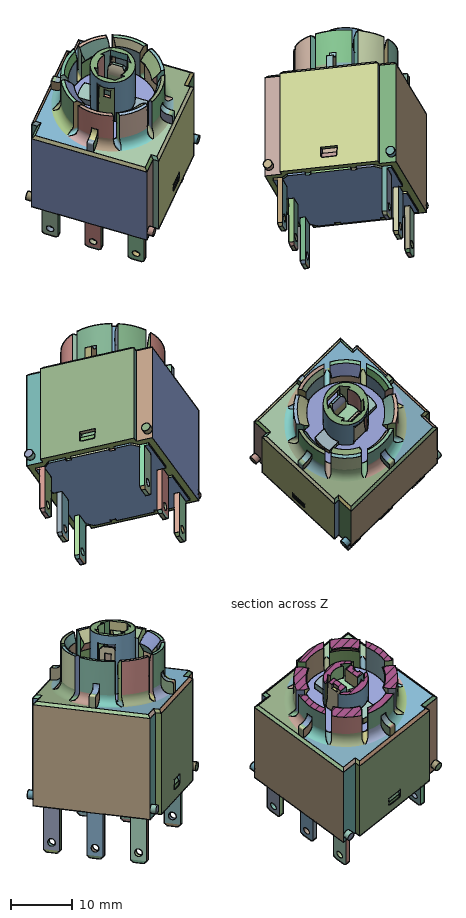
import cadquery as cq
import math

housing_size = 22.2
housing_bottom = 8.72
housing_top = 26.95
top_chamfer = 0.5
corner_half_x = 10.1
side_panel_half_y = 8.28

pin_diameter = 1.5
pin_z = 10.4

latch_width = 2.8
latch_bottom = 10.5
latch_top = 12.32
latch_ledge = 11.25
latch_depth = 0.75
latch_gap = 0.15
latch_recess = 0.1
latch_corner = 0.37

plate_half = 10.0
plate_thickness = 0.37
plate_corner_y = 7.3
plate_notch_y = 3.85
plate_notch_width = 0.93
plate_notch_depth = 0.5

terminal_width = 2.82
terminal_thickness = 0.9
terminal_spacing_x = 7.5
terminal_y = 8.85
terminal_tip = 0.5
terminal_tip_taper = 0.1
terminal_hole = 1.3
terminal_hole_height = 1.85
outer_terminal_end = 0.1

plate_corner_x = terminal_spacing_x + terminal_width / 2

ring_top = 34.45
ring_radius = 8.55
ring_inner_radius = 7.3
ring_rim_radius = 7.95
flare_height = 1.55
flare_radius = 10.02
lead_in_height = 1.5
hook_radius = 6.4
hook_height = 1.85
hook_underside_height = 1.55
hook_half_angle = 20.0

slot_offset = 2.97
slot_width = 0.95

rib_width = 1.1
rib_reach = housing_size / 2 - top_chamfer
rib_top = 29.1
rib_arc = 1.35
rib_nose_radius = 0.3

boss_top = 28.25
boss_radius = 5.75
boss_width = 3.25

socket_diameter = 7.4
socket_top = 37.1
socket_floor = 29.7
bore_radius = 2.5
bore_half_y = 2.85
bore_flat_half_x = 1.5
bore_shoulder_x = 2.6
bore_shoulder_y = 1.52
bore_step_x = 1.85
window_width = 3.05
window_top = 35.5

contact_pocket_width = 2.82
contact_inner_y = 1.35
contact_outer_y = 3.2
contact_top = 34.62
contact_top_inner_y = 2.08
contact_top_outer_y = 2.5
contact_tip_chamfer = 0.5
contact_opening_width = 1.1
contact_opening_bottom = 31.9
contact_opening_height = 1.6
contact_opening_depth = 0.93
contact_shoulder_z = 32.65
contact_inner_radius = 2.6

half = housing_size / 2


def block(x_size, y_size, z_low, z_high, x=0, y=0):
    """Box centred at (x, y) between two heights."""
    box = cq.Workplane("XY").box(x_size, y_size, z_high - z_low, centered=(True, True, False))
    return box.translate((x, y, z_low))


def cylinder(radius, z_low, z_high):
    return cq.Workplane("XY", origin=(0, 0, z_low)).circle(radius).extrude(z_high - z_low)


def prism_along_y(points, y_low, y_high):
    """Extrude an outline of (x, z) points along Y."""
    return cq.Workplane("XZ", origin=(0, y_low, 0)).polyline(points).close().extrude(y_low - y_high)


def prism_along_x(points, x_low, x_high):
    """Extrude an outline of (y, z) points along X."""
    return cq.Workplane("YZ", origin=(x_low, 0, 0)).polyline(points).close().extrude(x_high - x_low)


def make_housing():
    core = block(2 * corner_half_x, housing_size, housing_bottom, housing_top)
    panels = block(housing_size, 2 * side_panel_half_y, housing_bottom, housing_top)
    housing = core.union(panels).faces(">Z").chamfer(top_chamfer)
    for side in (-1, 1):
        housing = housing.cut(make_latch_pocket(side))
    pin_y = half - pin_diameter / 2
    for y in (-pin_y, pin_y):
        pin = cq.Workplane("YZ", origin=(-half, y, pin_z)).circle(pin_diameter / 2).extrude(housing_size)
        housing = housing.union(pin)
    return housing


def make_latch_pocket(side):
    """Clearance around a latch whose upper part slopes into the side panel."""
    outer = half - latch_recess
    inner = half - latch_depth
    pocket = block(latch_depth, latch_width, latch_bottom, latch_top, x=half - latch_depth / 2)
    pocket = pocket.edges("|X and <Z").fillet(latch_corner)
    latch_half = latch_width / 2 - latch_gap
    profile = [
        (inner, latch_bottom),
        (outer, latch_bottom),
        (outer, latch_ledge),
        (inner, latch_top),
    ]
    pocket = pocket.cut(prism_along_y(profile, -latch_half, latch_half))
    return pocket if side > 0 else pocket.mirror("YZ")


def make_bottom_plate():
    bottom = housing_bottom - plate_thickness
    corner_end_y = plate_corner_y + plate_half - plate_corner_x
    plate = block(2 * plate_corner_x, 2 * plate_half, bottom, housing_bottom)
    wings = [
        (-plate_half, -plate_corner_y),
        (-plate_corner_x, -corner_end_y),
        (plate_corner_x, -corner_end_y),
        (plate_half, -plate_corner_y),
        (plate_half, plate_corner_y),
        (plate_corner_x, corner_end_y),
        (-plate_corner_x, corner_end_y),
        (-plate_half, plate_corner_y),
    ]
    wing_plate = cq.Workplane("XY", origin=(0, 0, bottom)).polyline(wings).close().extrude(plate_thickness)
    plate = plate.union(wing_plate)
    for sx in (-1, 1):
        for sy in (-1, 1):
            notch_x = sx * (plate_half - plate_notch_depth / 2)
            plate = plate.cut(block(plate_notch_depth, plate_notch_width, bottom, housing_bottom,
                                    x=notch_x, y=sy * plate_notch_y))
    middle_gap = plate_half - terminal_y
    for sy in (-1, 1):
        plate = plate.cut(block(terminal_width, middle_gap, bottom, housing_bottom,
                                y=sy * (plate_half - middle_gap / 2)))
    return plate


def make_terminal(x, y, end):
    """Flat blade with a tapered tip and a cross hole."""
    half_width = terminal_width / 2
    half_thickness = terminal_thickness / 2
    tip_width = half_width - terminal_tip
    tip_thickness = half_thickness - terminal_tip_taper
    shoulder = end + terminal_tip
    face = [
        (-half_width, housing_bottom),
        (-half_width, shoulder),
        (-tip_width, end),
        (tip_width, end),
        (half_width, shoulder),
        (half_width, housing_bottom),
    ]
    edge = [
        (-half_thickness, housing_bottom),
        (-half_thickness, shoulder),
        (-tip_thickness, end),
        (tip_thickness, end),
        (half_thickness, shoulder),
        (half_thickness, housing_bottom),
    ]
    blade = prism_along_y(face, -half_thickness, half_thickness)
    blade = blade.intersect(prism_along_x(edge, -half_width, half_width))
    hole = cq.Workplane("XZ", origin=(0, half_thickness, end + terminal_hole_height))
    blade = blade.cut(hole.circle(terminal_hole / 2).extrude(terminal_thickness))
    return blade.translate((x, y, 0))


def revolve(outline):
    return outline.close().revolve(360, (0, 0, 0), (0, 1, 0))


def make_ring():
    """Flared collar with a conical lead-in and four inward hooks on the diagonals."""
    flare_start = housing_top + flare_height
    flare_mid_angle = math.radians(45)
    flare_mid = (
        flare_radius - (flare_radius - ring_radius) * math.sin(flare_mid_angle),
        flare_start - flare_height * math.cos(flare_mid_angle),
    )
    wall = revolve(
        cq.Workplane("XZ")
        .moveTo(ring_inner_radius, housing_top)
        .lineTo(flare_radius, housing_top)
        .threePointArc(flare_mid, (ring_radius, flare_start))
        .lineTo(ring_radius, ring_top)
        .lineTo(ring_rim_radius, ring_top)
        .lineTo(ring_inner_radius, ring_top - lead_in_height)
    )
    hook_tip = ring_top - hook_height
    hooks = revolve(
        cq.Workplane("XZ")
        .moveTo(ring_rim_radius, ring_top)
        .lineTo(hook_radius, hook_tip)
        .lineTo(ring_inner_radius, hook_tip - hook_underside_height)
        .lineTo(ring_rim_radius, hook_tip - hook_underside_height)
    )
    sector_half_width = flare_radius * math.tan(math.radians(hook_half_angle))
    sector = [(0, 0), (flare_radius, -sector_half_width), (flare_radius, sector_half_width)]
    hook_sector = cq.Workplane("XY", origin=(0, 0, housing_top)).polyline(sector).close()
    hook = hooks.intersect(hook_sector.extrude(ring_top - housing_top))
    for angle in (45, 135, 225, 315):
        wall = wall.union(hook.rotate((0, 0, 0), (0, 0, 1), angle))
    for angle in (45, 135):
        for offset in (-slot_offset, slot_offset):
            wall = wall.cut(make_slot(offset).rotate((0, 0, 0), (0, 0, 1), angle))
    return wall


def make_slot(offset):
    """Round-bottomed slot running across the whole ring along X."""
    radius = slot_width / 2
    centre_z = housing_top + radius
    slot = block(2 * flare_radius, slot_width, centre_z, ring_top, y=offset)
    bottom = cq.Workplane("YZ", origin=(-flare_radius, offset, centre_z))
    return slot.union(bottom.circle(radius).extrude(2 * flare_radius))


def make_rib(angle):
    """Radial rib with a rounded nose and a concave arc running up the ring wall."""
    inner = (ring_inner_radius + ring_radius) / 2
    arc_end = ring_radius + rib_arc
    nose_inset = rib_nose_radius * (1 - math.sin(math.radians(45)))
    nose_mid = (rib_reach - nose_inset, rib_top - nose_inset)
    mid_offset = rib_arc * math.sin(math.radians(45))
    arc_mid = (arc_end - mid_offset, rib_top + rib_arc - mid_offset)
    rib = (
        cq.Workplane("XZ", origin=(0, rib_width / 2, 0))
        .moveTo(inner, housing_top)
        .lineTo(rib_reach, housing_top)
        .lineTo(rib_reach, rib_top - rib_nose_radius)
        .threePointArc(nose_mid, (rib_reach - rib_nose_radius, rib_top))
        .lineTo(arc_end, rib_top)
        .threePointArc(arc_mid, (ring_radius, rib_top + rib_arc))
        .lineTo(inner, rib_top + rib_arc)
        .close()
        .extrude(rib_width)
    )
    return rib.rotate((0, 0, 0), (0, 0, 1), angle)


def make_socket():
    """Lamp socket: shaped bore, a window through both Y sides and a flat boss below."""
    boss = cylinder(boss_radius, housing_top, boss_top)
    boss = boss.intersect(block(2 * boss_radius, boss_width, housing_top, boss_top))
    socket = cylinder(socket_diameter / 2, housing_top, socket_top).union(boss)

    bore_outline = []
    for sx, sy in ((1, 1), (-1, 1), (-1, -1), (1, -1)):
        corner = [
            (sx * bore_step_x, sy * bore_shoulder_y),
            (sx * bore_shoulder_x, sy * bore_shoulder_y),
            (sx * bore_flat_half_x, sy * bore_half_y),
        ]
        bore_outline += corner if sx * sy > 0 else corner[::-1]
    bore = cq.Workplane("XY", origin=(0, 0, socket_floor)).polyline(bore_outline).close()
    bore = bore.extrude(socket_top - socket_floor)
    bore = bore.union(cylinder(bore_radius, socket_floor, socket_top))
    socket = socket.cut(bore)

    pocket_depth = bore_half_y - contact_inner_y
    outer_depth = socket_diameter / 2 - bore_half_y
    for sy in (-1, 1):
        pocket_y = sy * (contact_inner_y + pocket_depth / 2)
        outer_y = sy * (bore_half_y + outer_depth / 2)
        socket = socket.cut(block(contact_pocket_width, pocket_depth, housing_top, socket_floor, y=pocket_y))
        socket = socket.cut(block(window_width, outer_depth, housing_top, window_top, y=outer_y))
    return socket


def make_contact(side):
    """Tapered spring contact with a small opening below its chamfered tip and a curved inner side."""
    half_base = contact_pocket_width / 2
    contact = (
        cq.Workplane("YZ", origin=(-half_base, 0, 0))
        .moveTo(contact_inner_y, housing_top)
        .lineTo(contact_outer_y, housing_top)
        .lineTo(contact_top_outer_y, contact_top)
        .lineTo(contact_top_inner_y, contact_top)
        .radiusArc((contact_inner_y, contact_shoulder_z), -contact_inner_radius)
        .close()
        .extrude(contact_pocket_width)
    )
    tip_half_x = half_base - contact_tip_chamfer
    tip_shoulder = contact_top - contact_tip_chamfer
    face = [
        (-half_base, housing_top),
        (half_base, housing_top),
        (half_base, tip_shoulder),
        (tip_half_x, contact_top),
        (-tip_half_x, contact_top),
        (-half_base, tip_shoulder),
    ]
    contact = contact.intersect(prism_along_y(face, 0, contact_outer_y))
    opening_top = contact_opening_bottom + contact_opening_height
    opening_y = contact_outer_y - contact_opening_depth / 2
    contact = contact.cut(block(contact_opening_width, contact_opening_depth,
                                contact_opening_bottom, opening_top, y=opening_y))
    return contact if side > 0 else contact.mirror("XZ")


result = make_housing().union(make_bottom_plate())
for row in (-1, 1):
    for column in (-1, 0, 1):
        terminal_end = outer_terminal_end if column else 0
        result = result.union(make_terminal(column * terminal_spacing_x, row * terminal_y, terminal_end))
result = result.union(make_ring())
for rib_angle in (0, 90, 180, 270):
    result = result.union(make_rib(rib_angle))
result = result.union(make_socket())
for contact_side in (-1, 1):
    result = result.union(make_contact(contact_side))